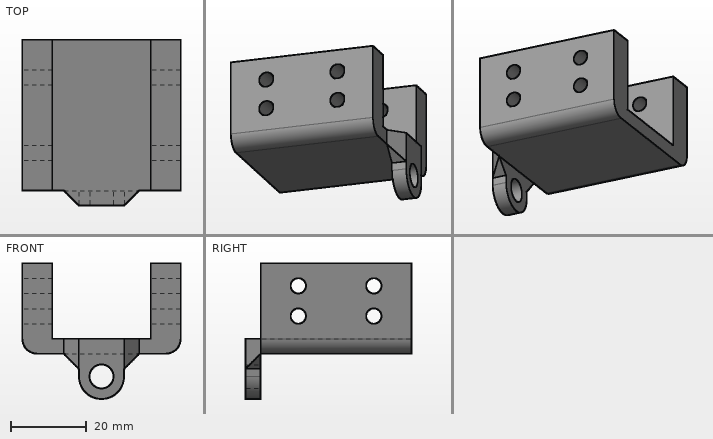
import cadquery as cq

channel_width = 42.0
channel_length = 40.0
channel_height = 24.0
wall_thickness = 8.0
floor_thickness = 4.0
corner_radius = 4.0

wall_hole_diameter = 4.0
wall_hole_spacing_y = 20.0
wall_hole_depths = (6.0, 14.0)

lug_width = 12.0
lug_thickness = 4.0
lug_pin_drop = 6.0
pin_hole_diameter = 6.3
flare = 4.0

front_y = -channel_length / 2
lug_front_y = front_y - lug_thickness
lug_half_width = lug_width / 2
flare_half_width = lug_half_width + flare


def make_channel():
    body = cq.Workplane("XY").box(
        channel_width, channel_length, channel_height, centered=(True, True, False)
    )
    body = body.edges("|Y and <Z").fillet(corner_radius)
    slot = (
        cq.Workplane("XY")
        .workplane(offset=floor_thickness)
        .rect(channel_width - 2 * wall_thickness, channel_length)
        .extrude(channel_height - floor_thickness)
    )
    return body.cut(slot)


def make_wall_holes():
    hole_centers = [
        (side * wall_hole_spacing_y / 2, channel_height - depth)
        for side in (-1, 1)
        for depth in wall_hole_depths
    ]
    return (
        cq.Workplane("YZ")
        .pushPoints(hole_centers)
        .circle(wall_hole_diameter / 2)
        .extrude(channel_width / 2, both=True)
    )


def make_lug():
    outline = (
        cq.Workplane("XZ", origin=(0, front_y, 0))
        .moveTo(-flare_half_width, floor_thickness)
        .lineTo(-flare_half_width, 0)
        .lineTo(-lug_half_width, -flare)
        .lineTo(-lug_half_width, -lug_pin_drop)
        .threePointArc((0, -lug_pin_drop - lug_half_width), (lug_half_width, -lug_pin_drop))
        .lineTo(lug_half_width, -flare)
        .lineTo(flare_half_width, 0)
        .lineTo(flare_half_width, floor_thickness)
        .close()
        .extrude(lug_thickness)
    )
    lug_bottom_z = -lug_pin_drop - lug_half_width
    taper = (
        cq.Workplane("XY")
        .workplane(offset=lug_bottom_z)
        .polyline([
            (-flare_half_width, front_y),
            (-lug_half_width, lug_front_y),
            (lug_half_width, lug_front_y),
            (flare_half_width, front_y),
        ])
        .close()
        .extrude(floor_thickness - lug_bottom_z)
    )
    pin_hole = (
        cq.Workplane("XZ", origin=(0, front_y, 0))
        .center(0, -lug_pin_drop)
        .circle(pin_hole_diameter / 2)
        .extrude(lug_thickness)
    )
    return outline.intersect(taper).cut(pin_hole)


result = make_channel().cut(make_wall_holes()).union(make_lug())